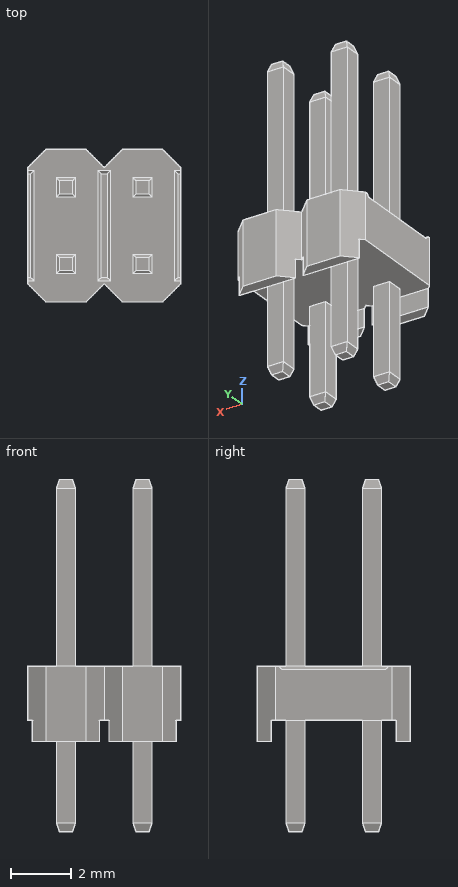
import cadquery as cq

PITCH = 2.54
COLUMNS = 2
ROWS = 2

PIN_WIDTH = 0.64
TIP_WIDTH = 0.44
TIP_HEIGHT = 0.3
PIN_BELOW_BODY = 3.0
PIN_ABOVE_BODY = 6.2

BODY_HEIGHT = 2.5
CORNER_CHAMFER = 0.61
FOOT_HEIGHT = 0.7
FOOT_DEPTH = 0.48
FOOT_INSET = 0.15

GROOVE_WIDTH = 0.42
GROOVE_DEPTH = 0.11
GROOVE_END_GAP = 0.1

BODY_LENGTH = COLUMNS * PITCH
BODY_WIDTH = ROWS * PITCH
GROOVE_LENGTH = BODY_WIDTH - 2 * (CORNER_CHAMFER + GROOVE_END_GAP)

column_centres = [(i - (COLUMNS - 1) / 2) * PITCH for i in range(COLUMNS)]
row_centres = [(i - (ROWS - 1) / 2) * PITCH for i in range(ROWS)]
column_boundaries = [i * PITCH - BODY_LENGTH / 2 for i in range(COLUMNS + 1)]


def tapered_block(base_size, end_size, height, x, y, z):
    """Rectangular frustum rising (or falling, for a negative height) from z."""
    return (
        cq.Workplane("XY", origin=(x, y, z))
        .rect(*base_size)
        .workplane(offset=height)
        .rect(*end_size)
        .loft(ruled=True)
    )


def body_column(x):
    """One column of the body: a block with its four vertical edges chamfered."""
    return (
        cq.Workplane("XY", origin=(x, 0, 0))
        .rect(PITCH, BODY_WIDTH)
        .extrude(BODY_HEIGHT)
        .edges("|Z")
        .chamfer(CORNER_CHAMFER)
    )


def underside_channel(length, width, x):
    """Channel cut up from the bottom to leave the feet standing."""
    return cq.Workplane("XY", origin=(x, 0, 0)).rect(length, width).extrude(FOOT_HEIGHT)


def break_groove(x):
    """Groove narrowing downwards from the top face."""
    taper = 2 * GROOVE_DEPTH
    top_size = (GROOVE_WIDTH, GROOVE_LENGTH)
    floor_size = (GROOVE_WIDTH - taper, GROOVE_LENGTH - taper)
    return tapered_block(top_size, floor_size, -GROOVE_DEPTH, x, 0, BODY_HEIGHT)


def pin(x, y):
    """Square pin through the body, tapered at both ends."""
    shank_bottom = TIP_HEIGHT - PIN_BELOW_BODY
    shank_top = BODY_HEIGHT + PIN_ABOVE_BODY - TIP_HEIGHT
    shank_size = (PIN_WIDTH, PIN_WIDTH)
    tip_size = (TIP_WIDTH, TIP_WIDTH)
    shank = (
        cq.Workplane("XY", origin=(x, y, shank_bottom))
        .rect(*shank_size)
        .extrude(shank_top - shank_bottom)
    )
    top_tip = tapered_block(shank_size, tip_size, TIP_HEIGHT, x, y, shank_top)
    bottom_tip = tapered_block(shank_size, tip_size, -TIP_HEIGHT, x, y, shank_bottom)
    return shank.union(top_tip).union(bottom_tip)


result = body_column(column_centres[0])
for column_x in column_centres[1:]:
    result = result.union(body_column(column_x))

result = result.cut(underside_channel(BODY_LENGTH, BODY_WIDTH - 2 * FOOT_DEPTH, 0))

for boundary_x in column_boundaries:
    result = result.cut(underside_channel(2 * FOOT_INSET, BODY_WIDTH, boundary_x))
    result = result.cut(break_groove(boundary_x))

for column_x in column_centres:
    for row_y in row_centres:
        result = result.union(pin(column_x, row_y))